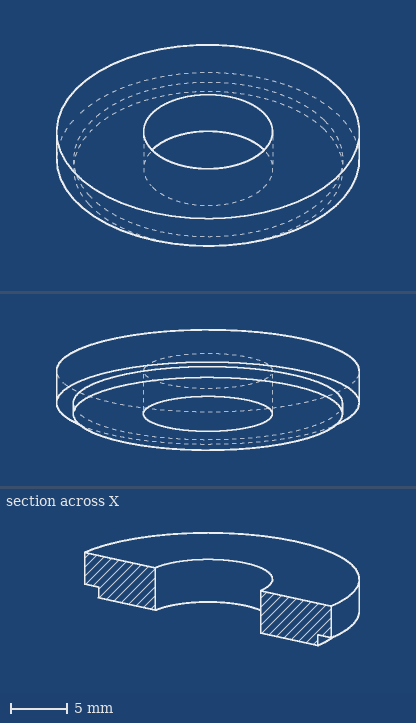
import cadquery as cq

flange_diameter = 27.0
spigot_diameter = 24.0
bore_diameter = 11.5
total_height = 4.0
spigot_height = 1.0
flange_height = total_height - spigot_height

spigot = cq.Workplane("XY").circle(spigot_diameter / 2).extrude(spigot_height)

flange = (
    cq.Workplane("XY")
    .workplane(offset=spigot_height)
    .circle(flange_diameter / 2)
    .extrude(flange_height)
)

bore = cq.Workplane("XY").circle(bore_diameter / 2).extrude(total_height)

result = spigot.union(flange).cut(bore)